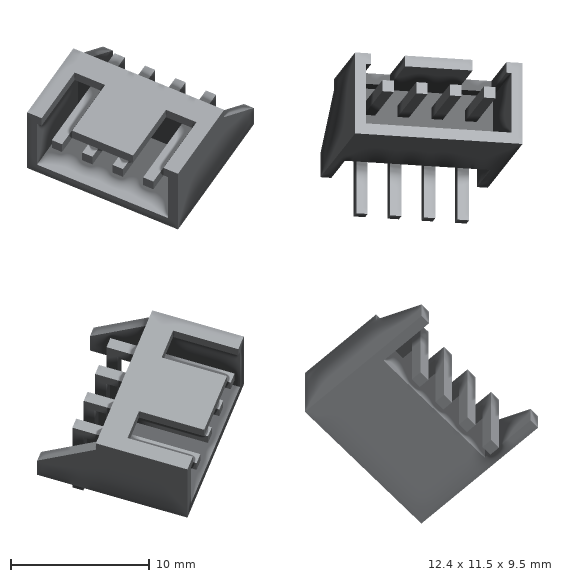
import cadquery as cq

width = 12.4
housing_depth = 7.0
housing_height = 6.1
wall = 0.8
cavity_depth = housing_depth - wall

pin_count = 4
pitch = 2.5
pin_size = 0.84
pin_top = 4.15
pin_rear_reach = 2.5
pin_tail = 3.4

slot_width = 2.5
slot_length = 5.0

ear_length = 4.49
ear_rear_height = 1.8
ear_front_height = housing_height - wall

pin_positions = [(i - (pin_count - 1) / 2) * pitch for i in range(pin_count)]


def box(size_x, size_y, size_z, x_center, y_front, z_bottom):
    """Box centred in X, starting at the given front face and underside."""
    return cq.Workplane("XY").box(size_x, size_y, size_z, centered=(True, False, False)).translate(
        (x_center, y_front, z_bottom)
    )


def make_ear(x_left):
    """Upright plate whose top edge slopes down towards the rear."""
    rear = housing_depth + ear_length
    return (
        cq.Workplane("YZ", origin=(x_left, 0, 0))
        .moveTo(housing_depth, 0)
        .lineTo(rear, 0)
        .lineTo(rear, ear_rear_height)
        .lineTo(housing_depth, ear_front_height)
        .close()
        .extrude(wall)
    )


def make_pin(x_center):
    """L-shaped pin: a straight contact with a tail turned down at the rear."""
    pin_rear = housing_depth + pin_rear_reach
    tail_front = pin_rear - pin_size
    return (
        cq.Workplane("YZ", origin=(x_center - pin_size / 2, 0, 0))
        .moveTo(0, pin_top)
        .lineTo(pin_rear, pin_top)
        .lineTo(pin_rear, -pin_tail)
        .lineTo(tail_front, -pin_tail)
        .lineTo(tail_front, pin_top - pin_size)
        .lineTo(0, pin_top - pin_size)
        .close()
        .extrude(pin_size)
    )


def make_housing():
    """Shroud with a front cavity, roof slots, rear ears and pin holes."""
    body = box(width, housing_depth, housing_height, 0, 0, 0)
    body = body.cut(box(width - 2 * wall, cavity_depth, housing_height - 2 * wall, 0, 0, wall))
    for x_center in (pin_positions[0], pin_positions[-1]):
        roof_underside = housing_height - wall
        body = body.cut(box(slot_width, slot_length, wall, x_center, 0, roof_underside))
    for x_left in (-width / 2, width / 2 - wall):
        body = body.union(make_ear(x_left))
    for x_center in pin_positions:
        hole_bottom = pin_top - pin_size
        body = body.cut(box(pin_size, housing_depth, pin_size, x_center, 0, hole_bottom))
    return body


housing = make_housing()
pins = [make_pin(x_center) for x_center in pin_positions]

result = cq.Compound.makeCompound([housing.val(), *[pin.val() for pin in pins]])